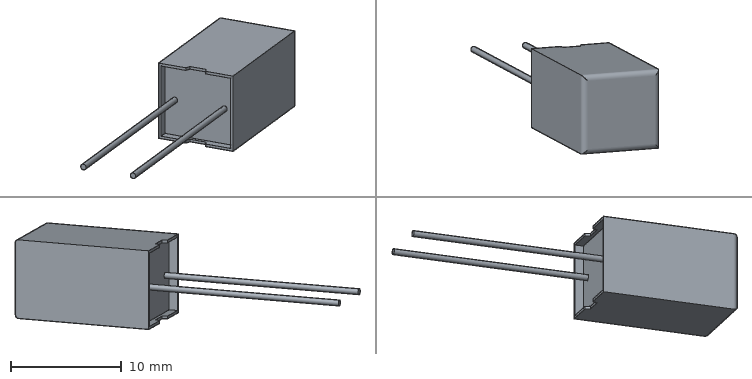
import cadquery as cq

case_width = 7.5
case_height = 7.3
case_length = 13.1
wall = 0.25
end_fillet = 0.5

notch_depth = 0.46
notch_mouth_width = 2.0
notch_floor_width = 1.6

fill_recess = 0.8
cavity_width = case_width - 2 * wall
cavity_height = case_height - 2 * wall
fill_length = case_length - wall - fill_recess

lead_diameter = 0.55
lead_pitch = 5.0
lead_overhang = 18.0
lead_embedment = 1.0
lead_length = lead_overhang + fill_recess + lead_embedment


def block(width, length, height, y_start):
    """Box centred on X and Z that runs from y_start towards +Y."""
    start = cq.Workplane("XY", origin=(0, y_start, 0))
    return start.box(width, length, height, centered=(True, False, True))


def rim_notches():
    """Trapezoidal cutter that passes through the top and bottom walls at the open rim."""
    half_mouth = notch_mouth_width / 2
    half_floor = notch_floor_width / 2
    outline = [
        (-half_mouth, 0),
        (half_mouth, 0),
        (half_floor, notch_depth),
        (-half_floor, notch_depth),
    ]
    return cq.Workplane("XY").polyline(outline).close().extrude(case_height / 2, both=True)


def make_case():
    """Thin-walled case with rounded edges around its closed end."""
    shell = block(case_width, case_length, case_height, 0).faces(">Y").edges().fillet(end_fillet)
    cavity = block(cavity_width, case_length - wall, cavity_height, 0)
    return shell.cut(cavity).cut(rim_notches())


def make_lead(x):
    """Straight round lead parallel to Y, with its inner end buried in the fill."""
    outer_end = cq.Workplane("XZ", origin=(x, -lead_overhang, 0))
    return outer_end.circle(lead_diameter / 2).extrude(-lead_length)


def make_fill(leads):
    """Potting block that fills the cavity, with a hole for each lead."""
    fill = block(cavity_width, fill_length, cavity_height, fill_recess)
    for lead in leads:
        fill = fill.cut(lead)
    return fill


case = make_case()
leads = [make_lead(side * lead_pitch / 2) for side in (-1, 1)]
fill = make_fill(leads)

result = cq.Compound.makeCompound([case.val(), fill.val(), *[lead.val() for lead in leads]])